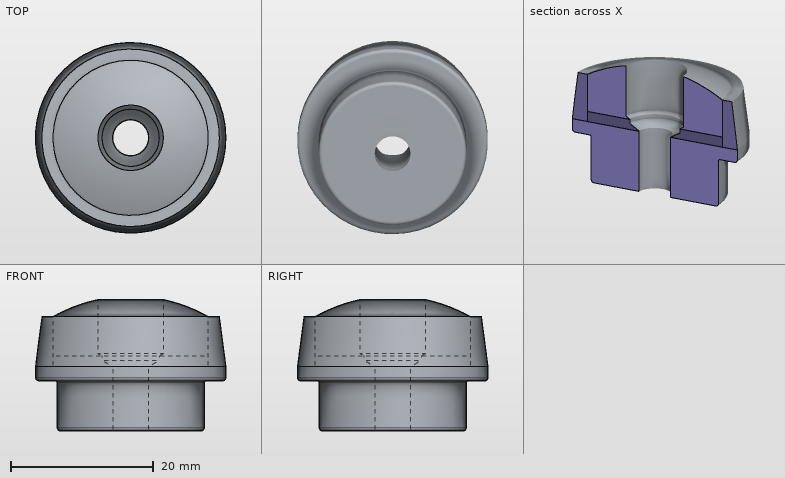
import cadquery as cq
import math

FLANGE_BOTTOM = 7.0
FLANGE_TOP = 9.0
RING_TOP = 16.0
OVERALL_HEIGHT = 18.38

STEM_RADIUS = 20.6 / 2
FLANGE_RADIUS = 26.66 / 2
EDGE_FILLET = 0.5
STEM_ROOT_FILLET = 0.2

RING_INNER_RADIUS = 21.7 / 2
RING_TAPER_ANGLE = 7.5
RING_TOP_RADIUS = FLANGE_RADIUS - (RING_TOP - FLANGE_TOP) * math.tan(math.radians(RING_TAPER_ANGLE))

CAP_BORE_RADIUS = 9.15 / 2
MIDDLE_BORE_RADIUS = 8.0 / 2
THROUGH_HOLE_RADIUS = 5.0 / 2
CONE_HALF_ANGLE = 60.0

BUSH_THICKNESS = 1.5
BUSH_TOP = FLANGE_TOP + BUSH_THICKNESS

DOME_SPHERE_RADIUS = 22.0
DOME_CENTER_HEIGHT = RING_TOP - math.sqrt(DOME_SPHERE_RADIUS**2 - RING_INNER_RADIUS**2)


def cone_height(large_radius, small_radius):
    """Height over which a 120 degree cone narrows between two radii."""
    return (large_radius - small_radius) / math.tan(math.radians(CONE_HALF_ANGLE))


def dome_height(radius):
    """Level of the spherical top at a distance from the axis."""
    return DOME_CENTER_HEIGHT + math.sqrt(DOME_SPHERE_RADIUS**2 - radius**2)


def revolve_about_z(profile):
    """Close a radius-height profile and turn it into a solid around the Z axis."""
    return profile.close().revolve(360, (0, 0, 0), (0, 1, 0))


def rounded_disc(radius, bottom, top):
    """Disc with a filleted lower edge."""
    disc = cq.Workplane("XY").workplane(offset=bottom).circle(radius).extrude(top - bottom)
    return disc.faces("<Z").edges().fillet(EDGE_FILLET)


def make_base():
    """Stem and flange in one piece, with a filleted root and a through hole."""
    stem = rounded_disc(STEM_RADIUS, 0, FLANGE_BOTTOM)
    flange = rounded_disc(FLANGE_RADIUS, FLANGE_BOTTOM, FLANGE_TOP)
    body = stem.union(flange)
    flange_underside = body.faces("|Z").faces(">Z[1]")
    body = flange_underside.edges(cq.selectors.RadiusNthSelector(0)).fillet(STEM_ROOT_FILLET)
    through_hole = cq.Workplane("XY").circle(THROUGH_HOLE_RADIUS).extrude(FLANGE_TOP)
    return body.cut(through_hole).solids()


def make_tapered_ring():
    """Ring with a straight bore and an outside that narrows upward."""
    return revolve_about_z(
        cq.Workplane("XZ")
        .moveTo(RING_INNER_RADIUS, FLANGE_TOP)
        .lineTo(FLANGE_RADIUS, FLANGE_TOP)
        .lineTo(RING_TOP_RADIUS, RING_TOP)
        .lineTo(RING_INNER_RADIUS, RING_TOP)
    )


def make_bush():
    """Flat disc whose bore narrows in a cone to the through hole of the base."""
    cone_top = FLANGE_TOP + cone_height(MIDDLE_BORE_RADIUS, THROUGH_HOLE_RADIUS)
    return revolve_about_z(
        cq.Workplane("XZ")
        .moveTo(THROUGH_HOLE_RADIUS, FLANGE_TOP)
        .lineTo(RING_INNER_RADIUS, FLANGE_TOP)
        .lineTo(RING_INNER_RADIUS, BUSH_TOP)
        .lineTo(MIDDLE_BORE_RADIUS, BUSH_TOP)
        .lineTo(MIDDLE_BORE_RADIUS, cone_top)
    )


def make_dome_cap():
    """Plug with a spherical top and a wide bore that ends in a cone."""
    cone_top = BUSH_TOP + cone_height(CAP_BORE_RADIUS, MIDDLE_BORE_RADIUS)
    mid_dome_radius = (RING_INNER_RADIUS + CAP_BORE_RADIUS) / 2
    return revolve_about_z(
        cq.Workplane("XZ")
        .moveTo(MIDDLE_BORE_RADIUS, BUSH_TOP)
        .lineTo(RING_INNER_RADIUS, BUSH_TOP)
        .lineTo(RING_INNER_RADIUS, RING_TOP)
        .threePointArc(
            (mid_dome_radius, dome_height(mid_dome_radius)),
            (CAP_BORE_RADIUS, OVERALL_HEIGHT),
        )
        .lineTo(CAP_BORE_RADIUS, cone_top)
    )


base = make_base()
tapered_ring = make_tapered_ring()
bush = make_bush()
dome_cap = make_dome_cap()

result = cq.Compound.makeCompound(
    [base.val(), tapered_ring.val(), bush.val(), dome_cap.val()]
)